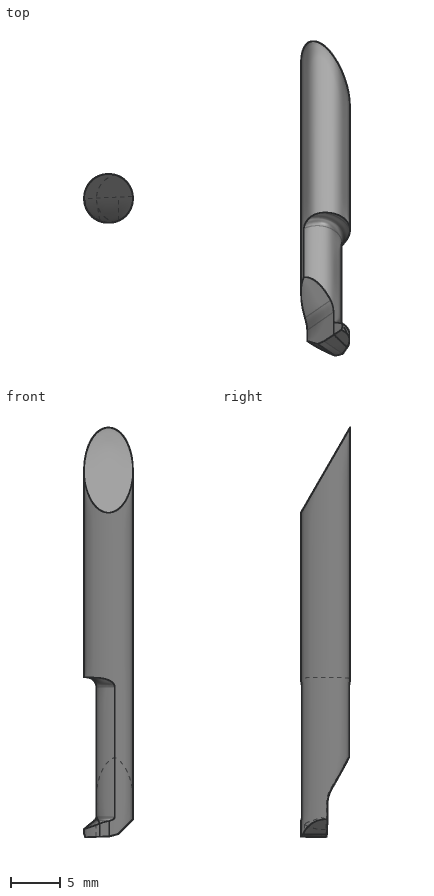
import cadquery as cq
import math

bar_length = 41.6
bar_radius = 2.5
end_bevel_angle = 30.0

neck_offset = 1.25
shoulder_z = 16.2
shoulder_fillet = 0.95
head_top_z = 1.87
neck_base_fillet = 0.4
head_back_angle = 40.0

rake_angle = 2.6
runout_z = 8.52
runout_angle = 30.0
runout_radius = 2.9

flank_radius = 2.3
flank_end_x = 0.1
flank_facet_x = -0.87
tip_corner_x = -2.35
tip_corner_height = 0.4
end_flat_x = 0.1
end_flat_rise = 0.1
nose_x = 1.0
nose_rise = 0.35

joint_inner_x = -1.3
joint_slant = 10.0

margin = 2.08
reach = bar_radius + margin
down = math.radians(head_back_angle)
base_tangent = neck_base_fillet * math.tan((math.pi / 2 - down) / 2)


def make_round_bar():
    """Full cylinder, cut off along the rear bevel that peaks on the +Y side."""
    bar = cq.Workplane("XY").circle(bar_radius).extrude(bar_length)
    bevel_drop = 2 * bar_radius / math.tan(math.radians(end_bevel_angle))
    bevel = (
        cq.Workplane("YZ")
        .moveTo(bar_radius, bar_length)
        .lineTo(-bar_radius, bar_length - bevel_drop)
        .lineTo(-bar_radius, bar_length)
        .close()
        .extrude(reach, both=True)
    )
    return bar.cut(bevel)


def make_neck_cutter():
    """Revolved ring around the neck axis: conical floor, neck wall and roof, with both corners filleted."""
    outer = reach + neck_offset
    cone_drop = (outer - bar_radius) * math.tan(down)
    diagonal = shoulder_fillet * (1 - math.sqrt(0.5))
    base_start_z = head_top_z + base_tangent
    base_turn = math.pi / 2 - down

    def base_point(turn):
        return (
            bar_radius + neck_base_fillet * (1 - math.cos(turn)),
            base_start_z - neck_base_fillet * math.sin(turn),
        )

    profile = (
        cq.Workplane("XZ")
        .moveTo(*base_point(base_turn))
        .threePointArc(base_point(base_turn / 2), base_point(0))
        .lineTo(bar_radius, shoulder_z - shoulder_fillet)
        .threePointArc(
            (bar_radius + diagonal, shoulder_z - diagonal),
            (bar_radius + shoulder_fillet, shoulder_z),
        )
        .lineTo(outer, shoulder_z)
        .lineTo(outer, head_top_z - cone_drop)
        .close()
    )
    ring = profile.revolve(360, (0, 0, 0), (0, 1, 0))
    return ring.translate((neck_offset, 0, 0))


def make_rake_cutter():
    """Space above the rake face, with a rounded run-out, turned about the cutting edge."""
    lean = math.radians(runout_angle)
    corner_z = runout_z - bar_radius / math.tan(lean)
    tangent = runout_radius * math.tan(lean / 2)
    middle_angle = lean / 2
    arc_start_z = corner_z - tangent
    arc_middle = (
        runout_radius * (1 - math.cos(middle_angle)),
        arc_start_z + runout_radius * math.sin(middle_angle),
    )
    arc_end = (tangent * math.sin(lean), corner_z + tangent * math.cos(lean))
    far_y = bar_radius + margin
    profile = (
        cq.Workplane("YZ")
        .moveTo(0, -margin)
        .lineTo(0, arc_start_z)
        .threePointArc(arc_middle, arc_end)
        .lineTo(far_y, runout_z + margin / math.tan(lean))
        .lineTo(far_y, -margin)
        .close()
    )
    edge_x = -bar_radius
    return profile.extrude(2 * reach, both=True).rotate((edge_x, 0, 0), (edge_x, 0, 1), rake_angle)


def make_flank_cutter():
    """Clearance outside the curved flank and the flat facet behind it."""
    center_x = flank_radius - bar_radius

    def flank_y(x):
        return -math.sqrt(flank_radius**2 - (x - center_x) ** 2)

    facet_y = flank_y(flank_facet_x)
    middle_angle = math.atan2(facet_y, flank_facet_x - center_x) / 2 - math.pi / 2
    arc_middle = (
        center_x + flank_radius * math.cos(middle_angle),
        flank_radius * math.sin(middle_angle),
    )
    bar_y = -math.sqrt(bar_radius**2 - flank_end_x**2)
    return (
        cq.Workplane("XY")
        .moveTo(-bar_radius, 0)
        .threePointArc(arc_middle, (flank_facet_x, facet_y))
        .lineTo(flank_end_x, bar_y)
        .lineTo(flank_end_x, -reach)
        .lineTo(-reach, -reach)
        .lineTo(-reach, 0)
        .close()
        .extrude(head_top_z)
    )


def make_end_cutter():
    """Space below the lower end: tip corner, shallow clearance and 45 degree nose chamfer."""
    return (
        cq.Workplane("XZ")
        .moveTo(-bar_radius, tip_corner_height)
        .lineTo(tip_corner_x, 0)
        .lineTo(end_flat_x, end_flat_rise)
        .lineTo(nose_x, nose_rise)
        .lineTo(reach, nose_rise + reach - nose_x)
        .lineTo(reach, -margin)
        .lineTo(-reach, -margin)
        .lineTo(-reach, tip_corner_height)
        .close()
        .extrude(reach, both=True)
    )


def make_tip_region():
    """Block on the tip side of the slanted joint, no higher than the head's base fillet."""
    lean = reach * math.tan(math.radians(joint_slant))
    return (
        cq.Workplane("XY")
        .moveTo(joint_inner_x - lean, reach)
        .lineTo(joint_inner_x + lean, -reach)
        .lineTo(-2 * reach, -reach)
        .lineTo(-2 * reach, reach)
        .close()
        .extrude(head_top_z + base_tangent)
    )


tool = (
    make_round_bar()
    .cut(make_neck_cutter())
    .cut(make_rake_cutter())
    .cut(make_flank_cutter())
    .cut(make_end_cutter())
)
tip_region = make_tip_region()
boring_bar = tool.cut(tip_region)
cutting_tip = tool.intersect(tip_region)

result = cq.Compound.makeCompound([*boring_bar.vals(), *cutting_tip.vals()])